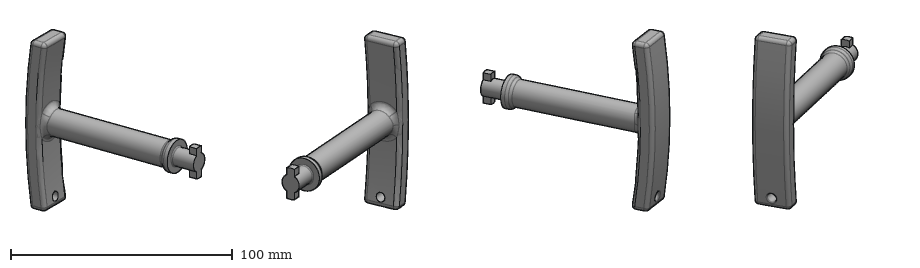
import cadquery as cq
import math

GRIP_HEIGHT = 83.0
GRIP_WIDTH = 18.0
GRIP_THICKNESS = 8.5
GRIP_OUTER_RADIUS = 275.0
GRIP_ROUNDING = 2.0

CORD_HOLE_DIAMETER = 4.5
CORD_HOLE_END_DISTANCE = 5.0
CORD_HOLE_ROUNDING = 0.4

OVERALL_LENGTH = 90.0
SHAFT_DIAMETER = 13.0
SHAFT_ROOT_FILLET = 3.0
COLLAR_DIAMETER = 16.0
COLLAR_RIM_LENGTH = 2.0
COLLAR_RIM_END = 78.0
FLARE_LENGTH = 3.0

PIN_DIAMETER = 9.0
PIN_ROOT_FILLET = 0.5
LUG_DIAMETER = 15.5
LUG_WIDTH = 4.0
LUG_LENGTH = 4.0


def arc_x(apex_x, radius, z):
    """X of a grip arc at height z; the arc is centred on the X axis."""
    return apex_x + radius - math.sqrt(radius**2 - z**2)


def make_grip():
    """Bar bent to two concentric arcs, bulging toward -X."""
    half_height = GRIP_HEIGHT / 2
    inner_radius = GRIP_OUTER_RADIUS - GRIP_THICKNESS
    outer_end_x = arc_x(0, GRIP_OUTER_RADIUS, half_height)
    inner_end_x = arc_x(GRIP_THICKNESS, inner_radius, half_height)
    return (
        cq.Workplane("XZ")
        .moveTo(outer_end_x, -half_height)
        .threePointArc((0, 0), (outer_end_x, half_height))
        .lineTo(inner_end_x, half_height)
        .threePointArc((GRIP_THICKNESS, 0), (inner_end_x, -half_height))
        .close()
        .extrude(GRIP_WIDTH / 2, both=True)
        .edges()
        .fillet(GRIP_ROUNDING)
    )


def cut_cord_hole(grip):
    """Hole along X through the grip, with a rounded rim on the outer face."""
    hole_z = -GRIP_HEIGHT / 2 + CORD_HOLE_END_DISTANCE
    hole = (
        cq.Workplane("YZ", origin=(0, 0, hole_z))
        .circle(CORD_HOLE_DIAMETER / 2)
        .extrude(OVERALL_LENGTH)
    )
    rim_x = arc_x(0, GRIP_OUTER_RADIUS, hole_z)
    rim_point = (rim_x, 0, hole_z + CORD_HOLE_DIAMETER / 2)
    return grip.cut(hole).edges(cq.selectors.NearestToPointSelector(rim_point)).fillet(CORD_HOLE_ROUNDING)


def make_shaft():
    """Shaft, S-curved flare, collar and key pin revolved about the X axis."""
    start_x = GRIP_THICKNESS / 2
    shaft_radius = SHAFT_DIAMETER / 2
    collar_radius = COLLAR_DIAMETER / 2
    pin_radius = PIN_DIAMETER / 2
    rim_start = COLLAR_RIM_END - COLLAR_RIM_LENGTH
    flare_start = rim_start - FLARE_LENGTH
    flare_middle = (rim_start - FLARE_LENGTH / 2, (shaft_radius + collar_radius) / 2)
    return (
        cq.Workplane("XY")
        .moveTo(start_x, 0)
        .lineTo(start_x, shaft_radius)
        .lineTo(flare_start, shaft_radius)
        .tangentArcPoint(flare_middle, relative=False)
        .tangentArcPoint((rim_start, collar_radius), relative=False)
        .lineTo(COLLAR_RIM_END, collar_radius)
        .lineTo(COLLAR_RIM_END, pin_radius + PIN_ROOT_FILLET)
        .radiusArc((COLLAR_RIM_END + PIN_ROOT_FILLET, pin_radius), -PIN_ROOT_FILLET)
        .lineTo(OVERALL_LENGTH, pin_radius)
        .lineTo(OVERALL_LENGTH, 0)
        .close()
        .revolve(360, (0, 0, 0), (1, 0, 0))
    )


def make_lugs():
    """Two opposite lugs at the pin tip, with tops rounded about the X axis."""
    lug_start = OVERALL_LENGTH - LUG_LENGTH
    disc = cq.Workplane("YZ", origin=(lug_start, 0, 0)).circle(LUG_DIAMETER / 2).extrude(LUG_LENGTH)
    bar = cq.Workplane("YZ", origin=(lug_start, 0, 0)).rect(LUG_WIDTH, LUG_DIAMETER).extrude(LUG_LENGTH)
    return disc.intersect(bar)


def fillet_shaft_root(body):
    """Round the corner where the shaft meets the inner face of the grip."""
    root_point = (GRIP_THICKNESS, 0, SHAFT_DIAMETER / 2)
    return body.edges(cq.selectors.NearestToPointSelector(root_point)).fillet(SHAFT_ROOT_FILLET)


handle = cut_cord_hole(make_grip()).union(make_shaft())
result = fillet_shaft_root(handle).union(make_lugs())